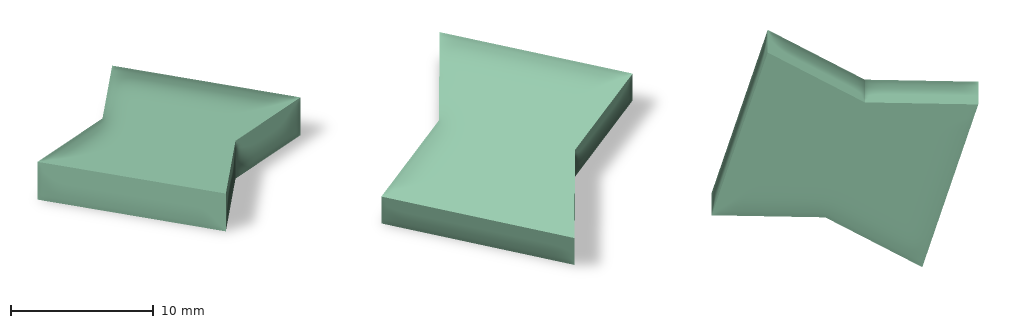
import cadquery as cq

length = 15.36
end_width = 14.02
waist_width = 9.9
thickness = 3.0

half_length = length / 2
half_end = end_width / 2
half_waist = waist_width / 2

outline = [
    (-half_end, -half_length),
    (half_end, -half_length),
    (half_waist, 0),
    (half_end, half_length),
    (-half_end, half_length),
    (-half_waist, 0),
]

result = cq.Workplane("XY").polyline(outline).close().extrude(thickness)